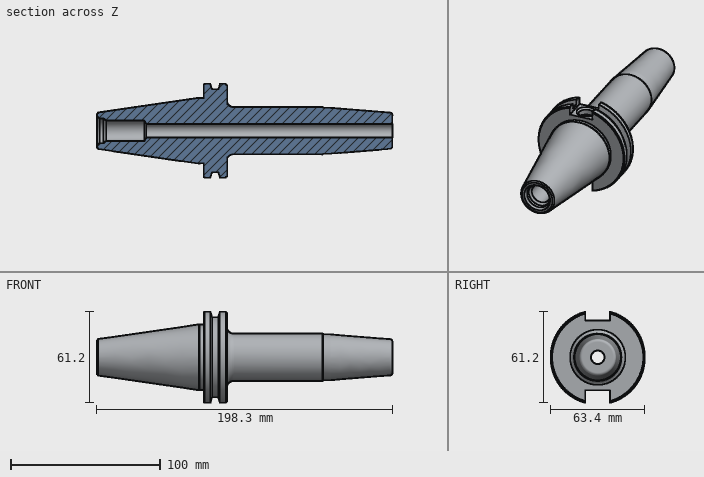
import cadquery as cq
import math

length = 198.3

gauge_x = 68.4
gauge_radius = 22.2
taper_slope = 7 / 48
taper_end_chamfer = 0.8
taper_end_inset = 1.0
relief_radius = 44.0 / 2
relief_step = 0.5

flange_start = 71.5
flange_end = 87.5
flange_radius = 31.7
flange_rear_chamfer = 0.5
flange_front_chamfer = 1.2
groove_center = 79.3
groove_mouth_width = 6.3
groove_floor_width = 4.2
groove_floor_radius = 28.2

shank_radius = 32.0 / 2
root_fillet_radius = 5.0
root_fillet_length = 4.4
shoulder_start = 151.3
shoulder_length = 0.5
nose_start = 156.8
nose_large_radius = 15.5
nose_small_radius = 12.3
nose_edge_radius = 2.0

countersink_radius = 9.5
countersink_depth = 1.8
pilot_radius = 16.5 / 2
pilot_end = 4.4
thread_radius = 13.5 / 2
thread_cone_end = 6.1
thread_end = 31.7
drill_tip_length = 1.4
through_radius = 9.0 / 2

slot_width = 16.5
top_slot_floor = 24.8
bottom_slot_floor = 22.2

pocket_x = (flange_start + flange_end) / 2
pocket_mouth_radius = 12.7 / 2
pocket_radius = 10.1 / 2
pocket_depth = 5.0
pocket_hole_radius = 8.0 / 2
pocket_hole_floor_radius = 11.9


def revolve_about_x(profile):
    return profile.close().revolve(360, (0, 0, 0), (1, 0, 0))


def make_body():
    taper_end_radius = gauge_radius - taper_slope * gauge_x
    root_rise = root_fillet_radius - math.sqrt(root_fillet_radius**2 - root_fillet_length**2)
    root_end = flange_end + root_fillet_length
    half_angle = math.asin(root_fillet_length / root_fillet_radius) / 2
    root_mid = (
        root_end - root_fillet_radius * math.sin(half_angle),
        shank_radius + root_fillet_radius * (1 - math.cos(half_angle)),
    )
    edge_center_radius = nose_small_radius - nose_edge_radius
    edge_mid = (
        length - nose_edge_radius * (1 - math.sin(math.pi / 4)),
        edge_center_radius + nose_edge_radius * math.cos(math.pi / 4),
    )
    profile = (
        cq.Workplane("XY")
        .moveTo(0, 0)
        .lineTo(0, taper_end_radius - taper_end_inset)
        .lineTo(taper_end_chamfer, taper_end_radius + taper_slope * taper_end_chamfer)
        .lineTo(gauge_x, gauge_radius)
        .lineTo(gauge_x + relief_step, relief_radius)
        .lineTo(flange_start, relief_radius)
        .lineTo(flange_start, flange_radius - flange_rear_chamfer)
        .lineTo(flange_start + flange_rear_chamfer, flange_radius)
        .lineTo(groove_center - groove_mouth_width / 2, flange_radius)
        .lineTo(groove_center - groove_floor_width / 2, groove_floor_radius)
        .lineTo(groove_center + groove_floor_width / 2, groove_floor_radius)
        .lineTo(groove_center + groove_mouth_width / 2, flange_radius)
        .lineTo(flange_end - flange_front_chamfer, flange_radius)
        .lineTo(flange_end, flange_radius - flange_front_chamfer)
        .lineTo(flange_end, shank_radius + root_rise)
        .threePointArc(root_mid, (root_end, shank_radius))
        .lineTo(shoulder_start, shank_radius)
        .lineTo(shoulder_start + shoulder_length, nose_large_radius)
        .lineTo(nose_start, nose_large_radius)
        .lineTo(length - nose_edge_radius, nose_small_radius)
        .threePointArc(edge_mid, (length, edge_center_radius))
        .lineTo(length, 0)
    )
    return revolve_about_x(profile)


def make_bore():
    profile = (
        cq.Workplane("XY")
        .moveTo(0, 0)
        .lineTo(0, countersink_radius)
        .lineTo(countersink_depth, pilot_radius)
        .lineTo(pilot_end, pilot_radius)
        .lineTo(thread_cone_end, thread_radius)
        .lineTo(thread_end, thread_radius)
        .lineTo(thread_end + drill_tip_length, through_radius)
        .lineTo(length, through_radius)
        .lineTo(length, 0)
    )
    return revolve_about_x(profile)


def make_drive_slot(floor_distance, side):
    """Slot through the flange; side is +1 for the top and -1 for the bottom."""
    slot_depth = flange_radius - floor_distance
    return cq.Workplane("XY").box(flange_end - flange_start, slot_width, slot_depth).translate(
        (pocket_x, 0, side * (floor_distance + slot_depth / 2))
    )


def make_pocket():
    """Chamfered stepped pocket whose floor is a cylinder coaxial with the part."""
    chamfer = pocket_mouth_radius - pocket_radius
    floor_z = top_slot_floor - pocket_depth
    profile = (
        cq.Workplane("XZ")
        .moveTo(0, 0)
        .lineTo(pocket_hole_radius, 0)
        .lineTo(pocket_hole_radius, floor_z)
        .lineTo(pocket_radius, floor_z)
        .lineTo(pocket_radius, top_slot_floor - chamfer)
        .lineTo(pocket_mouth_radius, top_slot_floor)
        .lineTo(0, top_slot_floor)
        .close()
    )
    stepped_hole = profile.revolve(360, (0, 0, 0), (0, 1, 0)).translate((pocket_x, 0, 0))
    floor_core = cq.Workplane("YZ").circle(pocket_hole_floor_radius).extrude(length)
    return stepped_hole.cut(floor_core)


result = (
    make_body()
    .cut(make_bore())
    .cut(make_drive_slot(top_slot_floor, 1))
    .cut(make_drive_slot(bottom_slot_floor, -1))
    .cut(make_pocket())
)